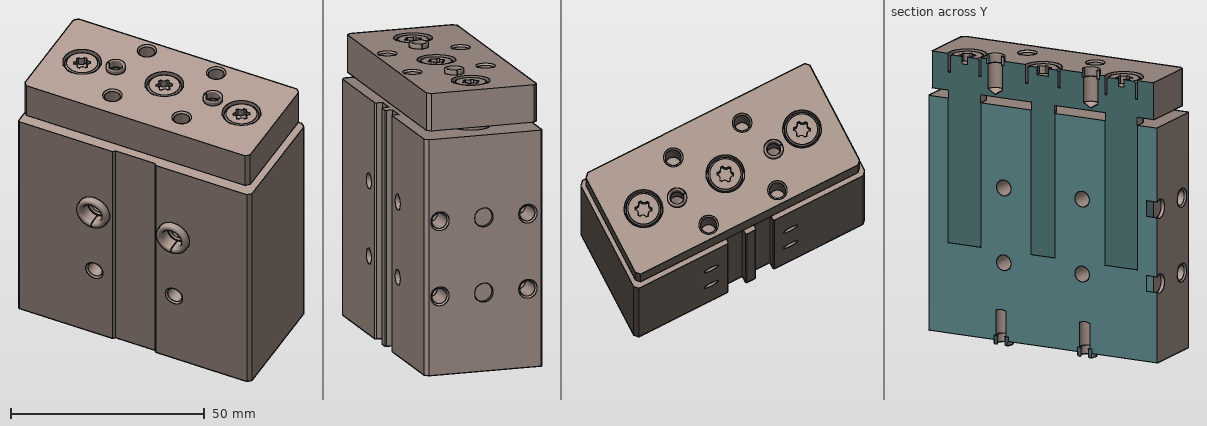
import cadquery as cq
import math


overall_depth = 33.8
overall_height = 77.4

housing_width = 67.0
housing_depth = 32.0
housing_height = 63.0
left_front_chamfer = 0.4
corner_chamfer = 1.0

front_channel_width = 12.55
front_channel_depth = 0.6
rear_channel_width = 13.0
rear_channel_depth = 2.0
rear_lip_chamfer = 0.3
rear_rib_width = 3.0

stroke_gap = 2.0
plate_width = 65.0
plate_depth = 30.0
plate_thickness = 10.0
plate_chamfer = 1.0
plate_pattern_y = 1.5
plate_hole_pitch = 20.0
guide_rod_spacing = 46.0
guide_rod_diameter = 10.0
piston_rod_diameter = 7.0
rod_insertion = 38.7
screw_recess_diameter = 10.0
screw_recess_depth = 5.0
screw_head_diameter = 9.0
screw_head_chamfer = 0.5
screw_head_setback = 0.3
torx_diameter = 4.3
torx_depth = 2.0
torx_valley_diameter = 3.25
torx_scallop_radius = 1.0
torx_lobes = 6

thread_diameter = 4.1
thread_mouth_diameter = 5.0
thread_depth = 8.0
drill_tip_angle = 118.0
upper_row_z = 41.0
lower_row_z = 21.0
front_hole_spacing = 23.0
side_hole_spacing = 24.0

pin_sleeve_diameter = 5.0
pin_sleeve_bore = 3.55
pin_sleeve_projection = (overall_height - housing_height - stroke_gap - plate_thickness) / 2
pin_sleeve_length = 2 * pin_sleeve_projection
top_sleeve_spacing = 28.0
bottom_sleeve_spacing = 24.5
port_sleeve_diameter = 9.0
port_sleeve_bore = 5.65
port_sleeve_projection = overall_depth - housing_depth
port_sleeve_length = 2 * port_sleeve_projection
sleeve_slit = 0.15
plug_diameter = 5.0
plug_recess = 1.0
plug_thickness = 2.0

front_y = -housing_depth / 2
left_x = -housing_width / 2
plate_bottom = housing_height + stroke_gap
plate_top = plate_bottom + plate_thickness
screw_head_top = plate_top - screw_head_setback
rows_z = (upper_row_z, lower_row_z)

rods = [
    (-guide_rod_spacing / 2, 0, guide_rod_diameter),
    (0, plate_pattern_y, piston_rod_diameter),
    (guide_rod_spacing / 2, 0, guide_rod_diameter),
]
top_sleeve_points = [(side * top_sleeve_spacing / 2, plate_pattern_y) for side in (-1, 1)]
bottom_sleeve_points = [(side * bottom_sleeve_spacing / 2, 0) for side in (-1, 1)]
port_points = [(side * front_hole_spacing / 2, upper_row_z) for side in (-1, 1)]

UP = cq.Vector(0, 0, 1)
DOWN = cq.Vector(0, 0, -1)
INTO_FRONT = cq.Vector(0, 1, 0)
INTO_SIDE = cq.Vector(1, 0, 0)


def cylinder(diameter, length, start, direction):
    """Plain cylinder that begins at start and runs along direction."""
    return cq.Workplane(cq.Solid.makeCylinder(diameter / 2, length, start, direction))


def countersink(mouth, direction):
    """Conical lead-in from the mouth diameter down to the thread diameter."""
    depth = (thread_mouth_diameter - thread_diameter) / 2
    cone = cq.Solid.makeCone(thread_mouth_diameter / 2, thread_diameter / 2, depth, mouth, direction)
    return cq.Workplane(cone)


def blind_hole(depth, mouth, direction):
    """Threaded hole that ends in a drill point."""
    radius = thread_diameter / 2
    tip_height = radius / math.tan(math.radians(drill_tip_angle / 2))
    tip = cq.Solid.makeCone(radius, 0, tip_height, mouth + direction * depth, direction)
    return cylinder(thread_diameter, depth, mouth, direction).union(cq.Workplane(tip))


def housing_block():
    """Extruded profile with a shallow front channel and a ribbed rear channel."""
    block = cq.Workplane("XY").box(
        housing_width, housing_depth, housing_height, centered=(True, True, False)
    )
    block = block.edges("|Z and (>X or >Y)").chamfer(corner_chamfer)
    block = block.edges("|Z and <X and <Y").chamfer(left_front_chamfer)

    half_mouth = front_channel_width / 2
    half_floor = half_mouth - front_channel_depth
    front_channel = (
        cq.Workplane("XY")
        .moveTo(-half_mouth, front_y)
        .lineTo(-half_floor, front_y + front_channel_depth)
        .lineTo(half_floor, front_y + front_channel_depth)
        .lineTo(half_mouth, front_y)
        .close()
        .extrude(housing_height)
    )

    rear_y = housing_depth / 2
    rear_channel = cq.Workplane("XY").center(0, rear_y - rear_channel_depth / 2)
    rear_channel = rear_channel.rect(rear_channel_width, rear_channel_depth).extrude(housing_height)
    rib = cq.Workplane("XY").center(0, rear_y - rear_channel_depth / 2)
    rib = rib.rect(rear_rib_width, rear_channel_depth).extrude(housing_height)

    block = block.cut(front_channel).cut(rear_channel.cut(rib))
    inner_lips = cq.selectors.BoxSelector(
        (-rear_channel_width, rear_y - rear_lip_chamfer, -0.8),
        (rear_channel_width, rear_y + rear_lip_chamfer, housing_height + 0.8),
    )
    return block.edges("|Z").edges(inner_lips).chamfer(rear_lip_chamfer)


def make_housing():
    body = housing_block()
    for x, y, diameter in rods:
        body = body.cut(cylinder(diameter, rod_insertion, cq.Vector(x, y, housing_height), DOWN))

    sleeve_seat_depth = port_sleeve_length - port_sleeve_projection
    for x, upper_z in port_points:
        for z in rows_z:
            through = cylinder(thread_diameter, housing_depth, cq.Vector(x, front_y, z), INTO_FRONT)
            body = body.cut(through)
        seat_mouth = cq.Vector(x, front_y, upper_z)
        seat_floor = seat_mouth + INTO_FRONT * sleeve_seat_depth
        body = body.cut(cylinder(port_sleeve_diameter, sleeve_seat_depth, seat_mouth, INTO_FRONT))
        body = body.cut(countersink(seat_floor, INTO_FRONT))
        body = body.cut(countersink(cq.Vector(x, front_y, lower_row_z), INTO_FRONT))

    for z in rows_z:
        for y in (-side_hole_spacing / 2, side_hole_spacing / 2):
            mouth = cq.Vector(left_x, y, z)
            body = body.cut(blind_hole(thread_depth, mouth, INTO_SIDE)).cut(countersink(mouth, INTO_SIDE))
        plug_hole_depth = plug_recess + plug_thickness
        body = body.cut(cylinder(plug_diameter, plug_hole_depth, cq.Vector(left_x, 0, z), INTO_SIDE))

    pin_seat_depth = pin_sleeve_length - pin_sleeve_projection
    for x, y in bottom_sleeve_points:
        mouth = cq.Vector(x, y, 0)
        body = body.cut(cylinder(pin_sleeve_diameter, pin_seat_depth, mouth, UP))
        body = body.cut(blind_hole(thread_depth, mouth, UP))
    return body


def torx_socket(x, y):
    """Six-lobed socket with one lobe pointing along +Y."""
    floor_z = screw_head_top - torx_depth
    socket = cylinder(torx_diameter, torx_depth, cq.Vector(x, y, floor_z), UP)
    scallop_offset = torx_valley_diameter / 2 + torx_scallop_radius
    for index in range(torx_lobes):
        angle = 2 * math.pi * index / torx_lobes
        centre = cq.Vector(
            x + scallop_offset * math.cos(angle), y + scallop_offset * math.sin(angle), floor_z
        )
        socket = socket.cut(cylinder(2 * torx_scallop_radius, torx_depth, centre, UP))
    return socket


def screw_head(x, y):
    recess_floor = plate_top - screw_recess_depth
    head_height = screw_head_top - recess_floor
    head = cylinder(screw_head_diameter, head_height, cq.Vector(x, y, recess_floor), UP)
    return head.faces(">Z").chamfer(screw_head_chamfer).cut(torx_socket(x, y))


def make_carriage():
    plate = cq.Workplane("XY").workplane(offset=plate_bottom).box(
        plate_width, plate_depth, plate_thickness, centered=(True, True, False)
    )
    body = plate.edges("|Z").chamfer(plate_chamfer)

    for x, y, diameter in rods:
        recess = cylinder(screw_recess_diameter, screw_recess_depth, cq.Vector(x, y, plate_top), DOWN)
        rod_length = stroke_gap + rod_insertion
        rod = cylinder(diameter, rod_length, cq.Vector(x, y, plate_bottom), DOWN)
        body = body.cut(recess).union(screw_head(x, y)).union(rod)

    for side_x in (-1, 1):
        for side_y in (-1, 1):
            mouth = cq.Vector(
                side_x * plate_hole_pitch / 2, plate_pattern_y + side_y * plate_hole_pitch / 2, plate_top
            )
            body = body.cut(cylinder(thread_diameter, plate_thickness, mouth, DOWN))
            body = body.cut(countersink(mouth, DOWN))

    seat_depth = pin_sleeve_length - pin_sleeve_projection
    for x, y in top_sleeve_points:
        mouth = cq.Vector(x, y, plate_top)
        body = body.cut(cylinder(pin_sleeve_diameter, seat_depth, mouth, DOWN))
        body = body.cut(blind_hole(thread_depth, mouth, DOWN))
    return body


def split_sleeve(diameter, bore, length, projection, face):
    """Sleeve with a fully rounded rim, set in the plane face, slit on its -xDir side."""
    outer_radius = diameter / 2
    bore_radius = bore / 2
    rim_radius = (outer_radius - bore_radius) / 2
    shoulder = projection - rim_radius
    inner_end = projection - length
    sleeve = (
        cq.Workplane("XZ")
        .moveTo(-bore_radius, inner_end)
        .lineTo(-outer_radius, inner_end)
        .lineTo(-outer_radius, shoulder)
        .threePointArc((-bore_radius - rim_radius, projection), (-bore_radius, shoulder))
        .close()
        .revolve(360, (0, 0), (0, 1))
    )
    slit = cq.Workplane("XY").box(outer_radius, sleeve_slit, length, centered=(False, True, False))
    sleeve = sleeve.cut(slit.translate((-outer_radius, 0, inner_end)))
    return cq.Workplane(sleeve.val().moved(cq.Location(face)))


def make_pin_sleeve(x, y, face_z, outward):
    """Small locating sleeve on the plate top or the housing underside."""
    face = cq.Plane(origin=(x, y, face_z), xDir=(1, 0, 0), normal=outward)
    return split_sleeve(
        pin_sleeve_diameter, pin_sleeve_bore, pin_sleeve_length, pin_sleeve_projection, face
    )


def make_port_sleeve(x, z):
    """Large locating sleeve on the front face, slit downwards."""
    face = cq.Plane(origin=(x, front_y, z), xDir=(0, 0, 1), normal=(0, -1, 0))
    return split_sleeve(
        port_sleeve_diameter, port_sleeve_bore, port_sleeve_length, port_sleeve_projection, face
    )


def make_plug(z):
    """Flat plug set just below the left side face."""
    return cylinder(plug_diameter, plug_thickness, cq.Vector(left_x + plug_recess, 0, z), INTO_SIDE)


housing = make_housing()
carriage = make_carriage()
top_sleeves = [make_pin_sleeve(x, y, plate_top, UP) for x, y in top_sleeve_points]
bottom_sleeves = [make_pin_sleeve(x, y, 0, DOWN) for x, y in bottom_sleeve_points]
port_sleeves = [make_port_sleeve(x, z) for x, z in port_points]
plugs = [make_plug(z) for z in rows_z]

bodies = [housing, carriage, *top_sleeves, *bottom_sleeves, *port_sleeves, *plugs]
result = cq.Compound.makeCompound([body.val() for body in bodies])